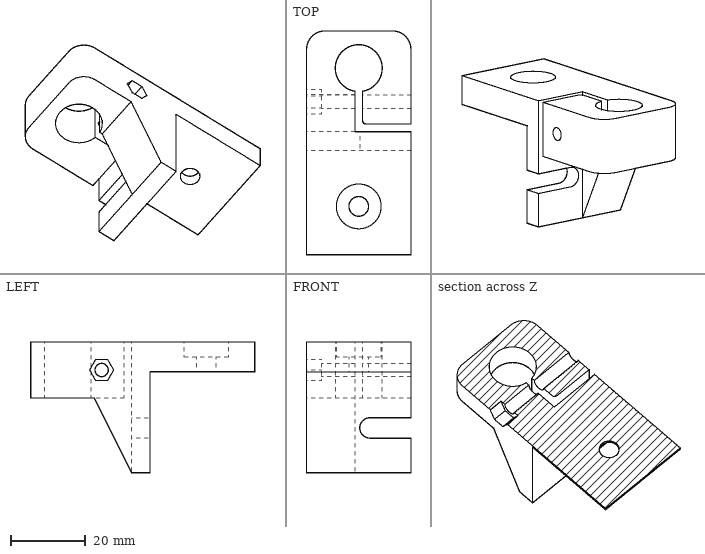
import cadquery as cq

WIDTH = 28.0
LENGTH = 60.0
HEIGHT = 35.0
PLATE_THICKNESS = 8.0
CLAMP_HEIGHT = 15.0
CORNER_RADIUS = 5.0

LEG_FRONT_Y = 28.0
LEG_FOOT_LENGTH = 5.0
LEG_ROOT_LENGTH = 15.0

BORE_DIAMETER = 12.5
BORE_Y = LENGTH - 10.0
SLIT_WIDTH = 2.0
SLIT_FRONT_Y = 33.0
SLIT_CORNER_RADIUS = 1.0

SCREW_DIAMETER = 3.5
SCREW_Y = 41.0
SCREW_Z = -CLAMP_HEIGHT / 2
NUT_CORNER_DIAMETER = 6.45
NUT_DEPTH = 4.0

MOUNT_Y = 13.0
MOUNT_DIAMETER = 5.2
COUNTERBORE_DIAMETER = 12.0
COUNTERBORE_DEPTH = 4.0

LEG_SLOT_WIDTH = 5.4
LEG_SLOT_ROUND_X = 3.0
LEG_SLOT_Z = -23.0

RIGHT_X = WIDTH / 2


def make_body():
    """Side profile swept across the width, with rounded corners at the clamp end."""
    leg_foot_y = LEG_FRONT_Y + LEG_FOOT_LENGTH
    leg_root_y = LEG_FRONT_Y + LEG_ROOT_LENGTH
    profile = [
        (0, 0),
        (LENGTH, 0),
        (LENGTH, -CLAMP_HEIGHT),
        (leg_root_y, -CLAMP_HEIGHT),
        (leg_foot_y, -HEIGHT),
        (LEG_FRONT_Y, -HEIGHT),
        (LEG_FRONT_Y, -PLATE_THICKNESS),
        (0, -PLATE_THICKNESS),
    ]
    body = cq.Workplane("YZ").polyline(profile).close().extrude(RIGHT_X, both=True)
    return body.faces(">Y").edges("|Z").fillet(CORNER_RADIUS)


def make_clamp_opening():
    """Rod bore joined to an L-shaped slit that reaches the +X side, over the full height."""
    slit_left_x = -SLIT_WIDTH / 2
    slit_right_x = SLIT_WIDTH / 2
    slit_back_y = SLIT_FRONT_Y + SLIT_WIDTH
    bore = cq.Workplane("XY").center(0, BORE_Y).circle(BORE_DIAMETER / 2).extrude(-HEIGHT)
    slit = (
        cq.Workplane("XY")
        .moveTo(slit_left_x, BORE_Y)
        .lineTo(slit_left_x, SLIT_FRONT_Y)
        .lineTo(RIGHT_X, SLIT_FRONT_Y)
        .lineTo(RIGHT_X, slit_back_y)
        .lineTo(slit_right_x + SLIT_CORNER_RADIUS, slit_back_y)
        .radiusArc((slit_right_x, slit_back_y + SLIT_CORNER_RADIUS), SLIT_CORNER_RADIUS)
        .lineTo(slit_right_x, BORE_Y)
        .close()
        .extrude(-HEIGHT)
    )
    return bore.union(slit)


def make_ear_clearance():
    """Space under the free clamp ear: the leg's sloping rear stops at the slit there."""
    clearance_height = HEIGHT - CLAMP_HEIGHT
    return cq.Workplane("XY").box(
        RIGHT_X + SLIT_WIDTH / 2,
        LENGTH - SLIT_FRONT_Y,
        clearance_height,
        centered=False,
    ).translate((-SLIT_WIDTH / 2, SLIT_FRONT_Y, -HEIGHT))


def make_clamp_screw():
    """Screw hole across the full width with a hexagonal nut pocket on the -X side."""
    side = cq.Workplane("YZ", origin=(-RIGHT_X, SCREW_Y, SCREW_Z))
    hole = side.circle(SCREW_DIAMETER / 2).extrude(WIDTH)
    nut_pocket = side.polygon(6, NUT_CORNER_DIAMETER).extrude(NUT_DEPTH)
    return hole.union(nut_pocket)


def make_mounting_hole():
    """Hole through the plate, counterbored from the top face."""
    top = cq.Workplane("XY").center(0, MOUNT_Y)
    hole = top.circle(MOUNT_DIAMETER / 2).extrude(-PLATE_THICKNESS)
    counterbore = top.circle(COUNTERBORE_DIAMETER / 2).extrude(-COUNTERBORE_DEPTH)
    return hole.union(counterbore)


def make_leg_slot():
    """Slot through the leg along Y, round at its inner end and open on the +X side."""
    front = cq.Workplane("XZ", origin=(LEG_SLOT_ROUND_X, LEG_FRONT_Y, LEG_SLOT_Z))
    straight_length = RIGHT_X - LEG_SLOT_ROUND_X
    round_end = front.circle(LEG_SLOT_WIDTH / 2).extrude(-LEG_ROOT_LENGTH)
    straight = (
        front.center(straight_length / 2, 0)
        .rect(straight_length, LEG_SLOT_WIDTH)
        .extrude(-LEG_ROOT_LENGTH)
    )
    return round_end.union(straight)


result = (
    make_body()
    .cut(make_clamp_opening())
    .cut(make_ear_clearance())
    .cut(make_clamp_screw())
    .cut(make_mounting_hole())
    .cut(make_leg_slot())
)